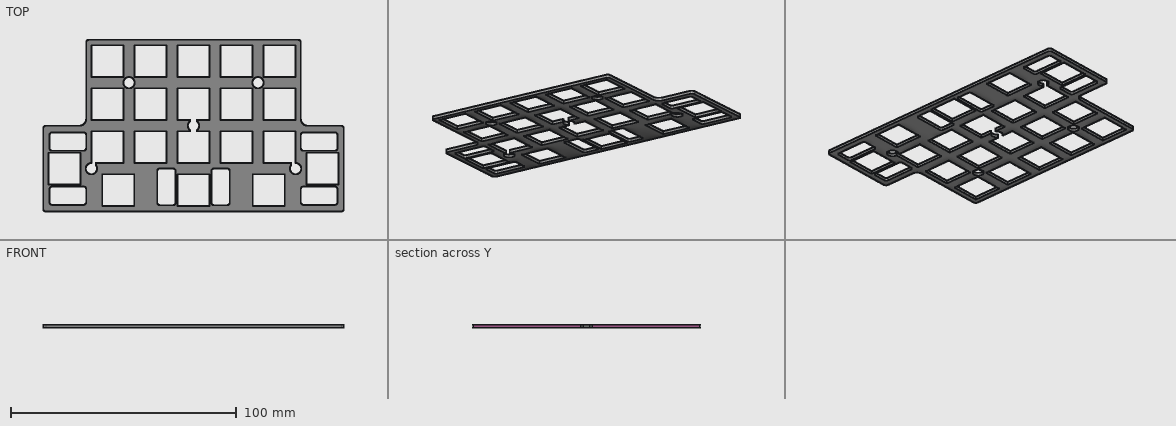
import cadquery as cq

length = 133.4
thickness = 1.5
pitch = length / 7
lower_depth = 2 * pitch
upper_width = 5 * pitch
total_depth = 4 * pitch
corner_radius = 1.27
inner_corner_radius = 3.0

key_size = 14.0
grid_columns = (-2, -1, 0, 1, 2)
grid_rows = (-0.5, 0.5, 1.5)
bottom_row_y = -1.5 * pitch
bottom_row_columns = (-1.75, 0, 1.75)
side_key_x = 3 * pitch
side_key_y = -pitch

slot_length = 16.1
slot_width = 8.0
slot_spacing = 12.0
slot_shift = 1.5
slot_corner_radius = 1.0

hole_diameter = 5.0
upper_hole_x = 1.5 * pitch
upper_hole_y = pitch
lower_hole_x = 2.375 * pitch
lower_hole_y = -pitch
centre_neck_width = 2.8
lower_neck_width = 2.0


def block(x, y, size_x, size_y):
    """Block of plate thickness centred on (x, y)."""
    return cq.Workplane("XY").center(x, y).rect(size_x, size_y).extrude(thickness)


def make_plate():
    """Stepped outline with rounded outer corners and filleted inner corners."""
    lower = block(0, -lower_depth / 2, length, lower_depth)
    plate = block(0, 0, upper_width, total_depth).union(lower)
    for side in (-1, 1):
        step_corner = (side * upper_width / 2, 0, thickness / 2)
        nearest = cq.selectors.NearestToPointSelector(step_corner)
        plate = plate.edges(nearest).fillet(inner_corner_radius)
    for end_face in ("<X", ">X", ">Y"):
        plate = plate.faces(end_face).edges("|Z").fillet(corner_radius)
    return plate


def key_cutouts():
    centres = [(column * pitch, row * pitch) for column in grid_columns for row in grid_rows]
    centres += [(column * pitch, bottom_row_y) for column in bottom_row_columns]
    centres += [(-side_key_x, side_key_y), (side_key_x, side_key_y)]
    return cq.Workplane("XY").pushPoints(centres).rect(key_size, key_size).extrude(thickness)


def slot(x, y, size_x, size_y):
    """Rectangular stabilizer slot with rounded corners."""
    return block(x, y, size_x, size_y).edges("|Z").fillet(slot_corner_radius)


def stabilizer_slots():
    """Upright slots beside the middle bottom key, level slots above and below each side key."""
    upright_y = bottom_row_y + slot_shift
    level_x = side_key_x - slot_shift
    slots = cq.Workplane("XY")
    for side in (-1, 1):
        slots = slots.add(slot(side * slot_spacing, upright_y, slot_width, slot_length))
        for end in (-1, 1):
            level_y = side_key_y + end * slot_spacing
            slots = slots.add(slot(side * level_x, level_y, slot_length, slot_width))
    return slots.combine()


def screw_holes():
    """Round holes, with necks through the thin webs at the centre and lower holes."""
    centres = [(0, 0)]
    for side in (-1, 1):
        centres.append((side * upper_hole_x, upper_hole_y))
        centres.append((side * lower_hole_x, lower_hole_y))
    holes = cq.Workplane("XY").pushPoints(centres).circle(hole_diameter / 2).extrude(thickness)

    web_width = pitch - key_size
    holes = holes.union(block(0, 0, centre_neck_width, web_width))
    for side in (-1, 1):
        neck_x = side * (lower_hole_x - lower_neck_width / 2)
        neck_y = lower_hole_y + web_width / 4
        holes = holes.union(block(neck_x, neck_y, lower_neck_width, web_width / 2))
    return holes


result = make_plate().cut(key_cutouts()).cut(stabilizer_slots()).cut(screw_holes())